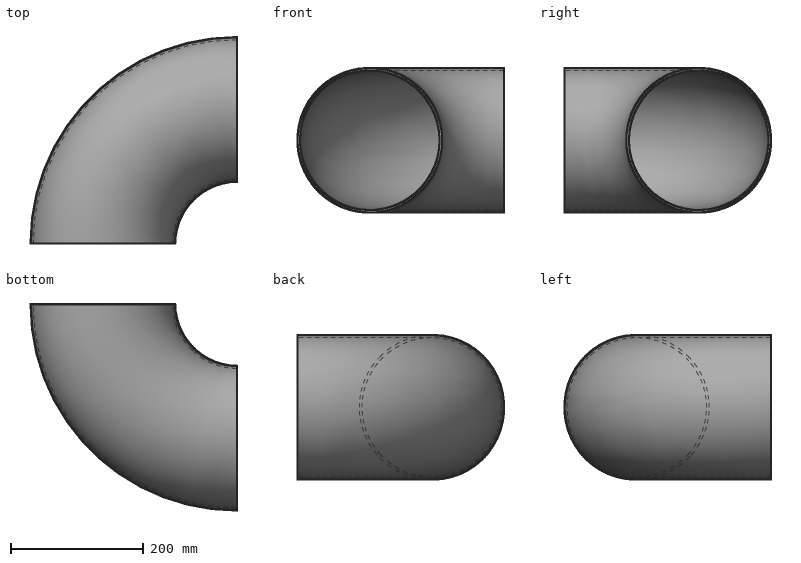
import cadquery as cq

overall_length = 312.5
outer_diameter = 219.0
wall_thickness = 4.0
bend_angle = 90.0

outer_radius = outer_diameter / 2
inner_radius = outer_radius - wall_thickness
bend_radius = overall_length - outer_radius

pipe_section = cq.Workplane("XZ").circle(outer_radius).circle(inner_radius)

axis_start = (bend_radius, 0)
axis_end = (bend_radius, -1)
result = pipe_section.revolve(bend_angle, axis_start, axis_end)